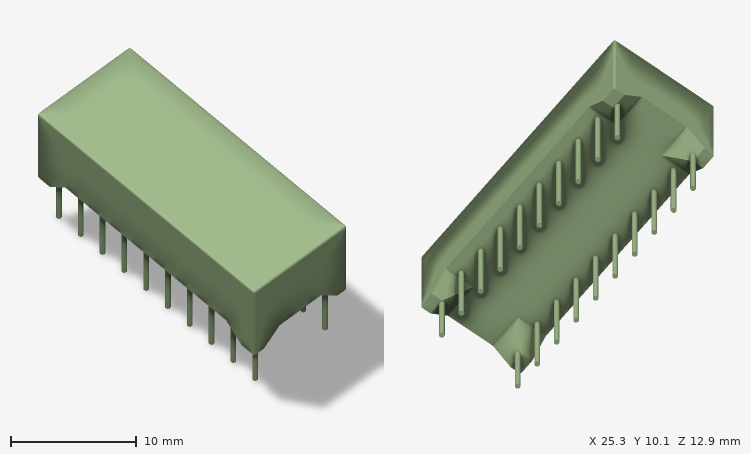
import cadquery as cq


LENGTH = 25.3
WIDTH = 10.1
OVERALL_HEIGHT = 12.9
EDGE_RADIUS = 0.2

ARCH_HEIGHT = 1.52
LONG_SIDE_FOOT = 1.5
LONG_SIDE_HAUNCH = 3.3
SHORT_SIDE_FOOT = 1.04
SHORT_SIDE_HAUNCH = 2.78

COLUMNS = 10
PITCH = 2.54
ROW_SPACING = 3 * PITCH
PIN_DIAMETER = 0.45
PIN_LENGTH = 4.98
SEGMENT_WIDTH = 1.75
SEGMENT_LENGTH = 5.0
SEGMENT_DEPTH = 0.5

HOUSING_HEIGHT = OVERALL_HEIGHT - PIN_LENGTH

column_places = [(i - (COLUMNS - 1) / 2) * PITCH for i in range(COLUMNS)]


def make_arch(plane, side_length, foot, haunch, depth):
    """Trapezoidal prism, centred on its plane, that clears the space between two feet."""
    half_base = side_length / 2 - foot
    half_crown = side_length / 2 - haunch
    outline = [
        (-half_base, 0),
        (-half_crown, ARCH_HEIGHT),
        (half_crown, ARCH_HEIGHT),
        (half_base, 0),
    ]
    return cq.Workplane(plane).polyline(outline).close().extrude(depth / 2, both=True)


def make_housing():
    """Block with rounded top and upright edges, standing on four corner feet."""
    block = cq.Workplane("XY").box(LENGTH, WIDTH, HOUSING_HEIGHT, centered=(True, True, False))
    block = block.edges("|Z or >Z").fillet(EDGE_RADIUS)
    long_side_arch = make_arch("XZ", LENGTH, LONG_SIDE_FOOT, LONG_SIDE_HAUNCH, WIDTH)
    short_side_arch = make_arch("YZ", WIDTH, SHORT_SIDE_FOOT, SHORT_SIDE_HAUNCH, LENGTH)
    return block.cut(long_side_arch).cut(short_side_arch)


def make_pins():
    """Two rows of round pins, reaching up into the housing past the arches."""
    places = [(x, side * ROW_SPACING / 2) for x in column_places for side in (-1, 1)]
    pin_top = 2 * ARCH_HEIGHT
    return (
        cq.Workplane("XY", origin=(0, 0, -PIN_LENGTH))
        .pushPoints(places)
        .circle(PIN_DIAMETER / 2)
        .extrude(PIN_LENGTH + pin_top)
    )


def make_segments():
    """Row of rectangular light segments, flush with the top face."""
    return (
        cq.Workplane("XY", origin=(0, 0, HOUSING_HEIGHT))
        .pushPoints([(x, 0) for x in column_places])
        .rect(SEGMENT_WIDTH, SEGMENT_LENGTH)
        .extrude(-SEGMENT_DEPTH)
    )


result = make_housing().union(make_pins()).union(make_segments(), clean=False)